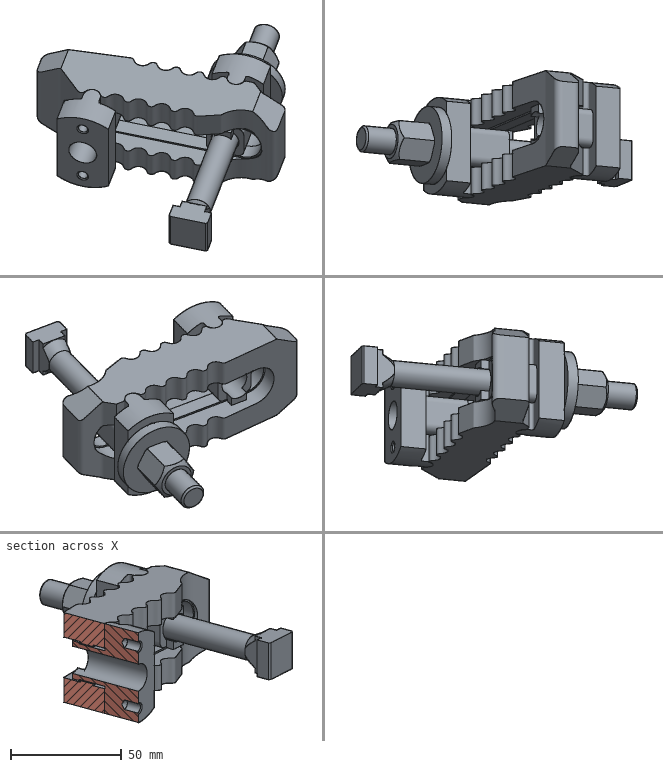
import cadquery as cq
import math


WIDTH = 44.0
LEFT_END_X = -89.9
RIGHT_END_X = 25.1
END_TAPER_LENGTH = 12.0
END_TAPER_ANGLE = 30.0
UPPER_CREST_Y = 79.3
LOWER_CREST_Y = 52.0

GROOVE_COUNT = 5
PITCH = 11.0
GROOVE_RADIUS = 4.0
CREST_RADIUS = 2.0
WALL_ANGLE = math.radians(55.0)
UPPER_FIRST_GROOVE_X = -4 * PITCH
LOWER_FIRST_GROOVE_X = -59.8

LEFT_TIP_TOP_Y = 76.7
LEFT_TIP_BOTTOM_Y = 64.7
LEFT_TIP_FILLET = 3.0
LEFT_SHOULDER_X = -77.9
HEEL_CORNER_X = -78.4
HEEL_ANGLE = math.radians(45.0)
HEEL_FILLET = 2.4

RIGHT_TIP_TOP_Y = 74.6
RIGHT_TIP_FILLET = 2.0
RIGHT_SHOULDER_X = 13.5
RIGHT_SHOULDER_FILLET = 2.4
UPPER_FLAT_END_X = 8.7
SIDE_KINK_Y = 61.9
NOSE_SIDE_X = 24.5
NOSE_FILLET = 2.5
HOLLOW_RADIUS = 14.0
HOLLOW_X = 11.4
HOLLOW_Y = 47.7
HOLLOW_START_X = 0.0
HOLLOW_END_X = 19.7
BEND_FILLET = 1.3
LOWER_RAMP_ANGLE = math.radians(20.0)

SLOT_LEFT_CENTER_X = -66.5
SLOT_RIGHT_CENTER_X = 7.9
SLOT_WIDTH = 18.0
RECESS_WIDTH = 19.5
LOWER_LEDGE_Y = 61.9
UPPER_LEDGE_Y = 69.0

SEAT_WIDTH = 24.2
SEAT_HEIGHT = 12.0
RIDGE_HEIGHT = 7.0
RIDGE_FILLET = 1.0
NECK_WIDTH = 17.5
NECK_FILLET = 3.4
NECK_LENGTH = 21.1
TONGUE_WIDTH = 7.9
TONGUE_LENGTH = 4.0
TONGUE_SPAN = 18.7
BORE_DIAMETER = 13.1
BORE_RADIUS = BORE_DIAMETER / 2
PILOT_OFFSET = 15.0
PILOT_DIAMETER = 4.4
PILOT_RADIUS = PILOT_DIAMETER / 2
PILOT_MOUTH_DIAMETER = 5.4
PILOT_MOUTH_RADIUS = PILOT_MOUTH_DIAMETER / 2
PILOT_DEPTH = 7.9
PILOT_TIP_ANGLE = math.radians(59.0)

WASHER_RADIUS = 17.5
WASHER_THICKNESS = 4.9
NUT_ACROSS_FLATS = 18.0
NUT_HEIGHT = 17.4
NUT_TOP_RADIUS = 7.8
NUT_TOP_BEVEL = 2.0
NUT_BOTTOM_RADIUS = 9.6
NUT_BOTTOM_BEVEL = 0.46

BOLT_LENGTH = 132.0
BOLT_DIAMETER = 12.0
BOLT_RADIUS = BOLT_DIAMETER / 2
BOLT_TIP_CHAMFER = 0.9
FOOT_WIDTH = 18.1
FOOT_DEPTH = 18.0
FOOT_HEIGHT = 7.1
FOOT_CHAMFER = 0.8
STEM_WIDTH = 11.6
STEM_TOP_Y = 10.7
FLARE_TOP_Y = 16.2
FLARE_RADIUS = 8.8

GROOVE_HALF = GROOVE_RADIUS * math.sin(WALL_ANGLE)
CREST_HALF = CREST_RADIUS * math.sin(WALL_ANGLE)
CREST_SAG = CREST_RADIUS * (1 - math.cos(WALL_ANGLE))
GROOVE_SAG = GROOVE_RADIUS * (1 - math.cos(WALL_ANGLE))
WALL_DROP = (PITCH / 2 - GROOVE_HALF - CREST_HALF) * math.tan(WALL_ANGLE)
GROOVE_DEPTH = CREST_SAG + WALL_DROP + GROOVE_SAG


def cylinder(radius, y_start, y_end):
    """Cylinder around the Y axis."""
    return cq.Workplane("XZ", origin=(0, y_start, 0)).circle(radius).extrude(y_start - y_end)


def block(x_size, z_size, y_start, y_end):
    """Box centred on the Y axis."""
    return cq.Workplane("XY").box(x_size, y_end - y_start, z_size).translate((0, (y_start + y_end) / 2, 0))


def add_grooves(outline, first_groove_x, crest_y, inward, step):
    """Continue an outline from a crest top through a row of grooves to the last crest top.

    inward is the Y direction into the bar, step is the X direction of travel.
    """
    wall_top_y = crest_y + inward * CREST_SAG
    wall_bottom_y = wall_top_y + inward * WALL_DROP
    bottom_y = crest_y + inward * GROOVE_DEPTH
    crest_middle = CREST_RADIUS * math.sin(WALL_ANGLE / 2)
    crest_middle_y = crest_y + inward * CREST_RADIUS * (1 - math.cos(WALL_ANGLE / 2))
    for index in range(GROOVE_COUNT):
        center = first_groove_x + step * index * PITCH
        before = center - step * PITCH / 2
        after = center + step * PITCH / 2
        crest_end = before + step * CREST_HALF
        outline = (
            outline
            .threePointArc((before + step * crest_middle, crest_middle_y), (crest_end, wall_top_y))
            .lineTo(center - step * GROOVE_HALF, wall_bottom_y)
            .threePointArc((center, bottom_y), (center + step * GROOVE_HALF, wall_bottom_y))
            .lineTo(after - step * CREST_HALF, wall_top_y)
            .threePointArc((after - step * crest_middle, crest_middle_y), (after, crest_y))
        )
    return outline


def lower_crest_point(crest_x, angle):
    """Point on a lower crest's arc, turned by an angle from the lowest point toward +X."""
    return (
        crest_x + CREST_RADIUS * math.sin(angle),
        LOWER_CREST_Y + CREST_RADIUS * (1 - math.cos(angle)),
    )


def hollow_height(x):
    """Y of the hollow's arc in the underside near the right end."""
    return HOLLOW_Y + math.sqrt(HOLLOW_RADIUS**2 - (x - HOLLOW_X) ** 2)


def bar_profile():
    """Solid of the bar's constant cross-section with its rounded corners."""
    lower_first_crest_x = LOWER_FIRST_GROOVE_X - PITCH / 2
    lower_last_groove_x = LOWER_FIRST_GROOVE_X + (GROOVE_COUNT - 1) * PITCH
    lower_last_crest_x = lower_last_groove_x + PITCH / 2
    ramp_middle = lower_crest_point(lower_last_crest_x, LOWER_RAMP_ANGLE / 2)
    ramp_tangent = lower_crest_point(lower_last_crest_x, LOWER_RAMP_ANGLE)
    heel_middle = lower_crest_point(lower_first_crest_x, -HEEL_ANGLE / 2)
    heel_tangent = lower_crest_point(lower_first_crest_x, -HEEL_ANGLE)
    bend = (HOLLOW_START_X, hollow_height(HOLLOW_START_X))
    hollow_top = (HOLLOW_X, hollow_height(HOLLOW_X))
    hollow_end = (HOLLOW_END_X, hollow_height(HOLLOW_END_X))
    nose_slope = (HOLLOW_END_X - HOLLOW_X) / (hollow_end[1] - HOLLOW_Y)
    nose_corner = (NOSE_SIDE_X, hollow_end[1] - nose_slope * (NOSE_SIDE_X - HOLLOW_END_X))

    outline = cq.Workplane("XY", origin=(0, 0, -WIDTH / 2)).moveTo(LEFT_END_X, LEFT_TIP_BOTTOM_Y)
    outline = outline.lineTo(LEFT_END_X, LEFT_TIP_TOP_Y).lineTo(LEFT_SHOULDER_X, LEFT_TIP_TOP_Y)
    outline = outline.lineTo(UPPER_FIRST_GROOVE_X - PITCH / 2, UPPER_CREST_Y)
    outline = add_grooves(outline, UPPER_FIRST_GROOVE_X, UPPER_CREST_Y, -1, 1)
    outline = (
        outline
        .lineTo(UPPER_FLAT_END_X, UPPER_CREST_Y)
        .lineTo(RIGHT_SHOULDER_X, RIGHT_TIP_TOP_Y)
        .lineTo(RIGHT_END_X, RIGHT_TIP_TOP_Y)
        .lineTo(RIGHT_END_X, SIDE_KINK_Y)
        .lineTo(*nose_corner)
        .lineTo(*hollow_end)
        .threePointArc(hollow_top, bend)
        .lineTo(*ramp_tangent)
        .threePointArc(ramp_middle, (lower_last_crest_x, LOWER_CREST_Y))
    )
    outline = add_grooves(outline, lower_last_groove_x, LOWER_CREST_Y, 1, -1)
    outline = outline.threePointArc(heel_middle, heel_tangent)
    bar = outline.lineTo(HEEL_CORNER_X, LEFT_TIP_BOTTOM_Y).close().extrude(WIDTH)

    rounded_corners = [
        (LEFT_END_X, LEFT_TIP_BOTTOM_Y, LEFT_TIP_FILLET),
        (LEFT_END_X, LEFT_TIP_TOP_Y, LEFT_TIP_FILLET),
        (HEEL_CORNER_X, LEFT_TIP_BOTTOM_Y, HEEL_FILLET),
        (RIGHT_SHOULDER_X, RIGHT_TIP_TOP_Y, RIGHT_SHOULDER_FILLET),
        (RIGHT_END_X, RIGHT_TIP_TOP_Y, RIGHT_TIP_FILLET),
        (*nose_corner, NOSE_FILLET),
        (*bend, BEND_FILLET),
    ]
    for x, y, radius in rounded_corners:
        bar = bar.edges(cq.selectors.NearestToPointSelector((x, y, 0))).fillet(radius)
    return bar


def bar_plan():
    """Block with the bar's plan outline in XZ, narrowed at both ends."""
    half_width = WIDTH / 2
    end_half = half_width - END_TAPER_LENGTH * math.tan(math.radians(END_TAPER_ANGLE))
    left_x = LEFT_END_X + END_TAPER_LENGTH
    right_x = RIGHT_END_X - END_TAPER_LENGTH
    corners = [
        (LEFT_END_X, -end_half),
        (left_x, -half_width),
        (right_x, -half_width),
        (RIGHT_END_X, -end_half),
        (RIGHT_END_X, end_half),
        (right_x, half_width),
        (left_x, half_width),
        (LEFT_END_X, end_half),
    ]
    return cq.Workplane("XZ").polyline(corners).close().extrude(-BOLT_LENGTH)


def slot_cutter(width, y_start, y_end):
    """Round-ended slot along X that runs between two Y levels."""
    spacing = SLOT_RIGHT_CENTER_X - SLOT_LEFT_CENTER_X
    middle_x = (SLOT_RIGHT_CENTER_X + SLOT_LEFT_CENTER_X) / 2
    return (
        cq.Workplane("XZ", origin=(middle_x, y_start, 0))
        .slot2D(spacing + width, width)
        .extrude(y_start - y_end)
    )


def make_bar():
    bar = bar_profile().intersect(bar_plan())
    bar = bar.cut(slot_cutter(SLOT_WIDTH, 0, BOLT_LENGTH))
    bar = bar.cut(slot_cutter(RECESS_WIDTH, 0, LOWER_LEDGE_Y))
    return bar.cut(slot_cutter(RECESS_WIDTH, UPPER_LEDGE_Y, BOLT_LENGTH))


def pilot_hole(z):
    """Countersunk blind hole with a conical end, drilled toward +Y from the back of the seat."""
    countersink = PILOT_MOUTH_RADIUS - PILOT_RADIUS
    tip = PILOT_DEPTH + PILOT_RADIUS / math.tan(PILOT_TIP_ANGLE)
    half_section = [
        (0, 0),
        (PILOT_MOUTH_RADIUS, 0),
        (PILOT_RADIUS, countersink),
        (PILOT_RADIUS, PILOT_DEPTH),
        (0, tip),
    ]
    hole = cq.Workplane("XY").polyline(half_section).close().revolve(360, (0, 0, 0), (0, 1, 0))
    return hole.translate((0, -SEAT_HEIGHT, z))


def make_seat():
    """Seat facing +Y, with its shoulder at Y = 0."""
    foot_half = GROOVE_RADIUS + RIDGE_FILLET
    bend = RIDGE_FILLET * math.sin(math.pi / 4)
    ridge_straight = RIDGE_HEIGHT - GROOVE_RADIUS
    half = SEAT_WIDTH / 2
    section = (
        cq.Workplane("XY", origin=(0, 0, -WIDTH / 2))
        .moveTo(-half, -SEAT_HEIGHT)
        .lineTo(half, -SEAT_HEIGHT)
        .lineTo(half, 0)
        .lineTo(foot_half, 0)
        .threePointArc((foot_half - bend, RIDGE_FILLET - bend), (GROOVE_RADIUS, RIDGE_FILLET))
        .lineTo(GROOVE_RADIUS, ridge_straight)
        .threePointArc((0, RIDGE_HEIGHT), (-GROOVE_RADIUS, ridge_straight))
        .lineTo(-GROOVE_RADIUS, RIDGE_FILLET)
        .threePointArc((bend - foot_half, RIDGE_FILLET - bend), (-foot_half, 0))
        .lineTo(-half, 0)
        .close()
        .extrude(WIDTH)
    )
    seat = section.intersect(cylinder(WIDTH / 2, -SEAT_HEIGHT, RIDGE_HEIGHT))
    seat = seat.union(block(NECK_WIDTH, NECK_WIDTH, 0, NECK_LENGTH).edges("|Y").fillet(NECK_FILLET))
    tongue_end = NECK_LENGTH + TONGUE_LENGTH
    seat = seat.union(block(TONGUE_WIDTH, TONGUE_SPAN, NECK_LENGTH, tongue_end))
    seat = seat.cut(cylinder(BORE_RADIUS, -SEAT_HEIGHT, tongue_end))
    for side in (-1, 1):
        seat = seat.cut(pilot_hole(side * PILOT_OFFSET))
    return seat


def make_washer(bottom_y):
    top_y = bottom_y + WASHER_THICKNESS
    return cylinder(WASHER_RADIUS, bottom_y, top_y).cut(cylinder(BORE_RADIUS, bottom_y, top_y))


def make_nut(bottom_y):
    """Hexagon nut with both ends bevelled by cones."""
    corner_radius = NUT_ACROSS_FLATS / 2 / math.cos(math.pi / 6)
    hexagon = cq.Workplane("XZ").polygon(6, 2 * corner_radius).extrude(-NUT_HEIGHT)
    half_section = [
        (BOLT_RADIUS, 0),
        (NUT_BOTTOM_RADIUS, 0),
        (corner_radius, NUT_BOTTOM_BEVEL),
        (corner_radius, NUT_HEIGHT - NUT_TOP_BEVEL),
        (NUT_TOP_RADIUS, NUT_HEIGHT),
        (BOLT_RADIUS, NUT_HEIGHT),
    ]
    turned = cq.Workplane("XY").polyline(half_section).close().revolve(360, (0, 0, 0), (0, 1, 0))
    return hexagon.intersect(turned).translate((0, bottom_y, 0))


def make_bolt():
    """Bolt with a T-shaped foot and a conical flare that is cut flush with the stem."""
    foot = block(FOOT_WIDTH, FOOT_DEPTH, 0, FOOT_HEIGHT).edges("<Y and |Z").chamfer(FOOT_CHAMFER)
    stem = block(STEM_WIDTH, FOOT_DEPTH, FOOT_HEIGHT, STEM_TOP_Y)
    flare_height = FLARE_TOP_Y - STEM_TOP_Y
    flare_base = cq.Vector(0, STEM_TOP_Y, 0)
    cone = cq.Solid.makeCone(FLARE_RADIUS, BOLT_RADIUS, flare_height, flare_base, cq.Vector(0, 1, 0))
    flare = cq.Workplane(cone).intersect(block(STEM_WIDTH, FOOT_DEPTH, STEM_TOP_Y, FLARE_TOP_Y))
    shank = cylinder(BOLT_RADIUS, FLARE_TOP_Y, BOLT_LENGTH).faces(">Y").chamfer(BOLT_TIP_CHAMFER)
    return foot.union(stem).union(flare).union(shank)


upper_shoulder_y = UPPER_CREST_Y - GROOVE_DEPTH + RIDGE_HEIGHT
lower_shoulder_y = LOWER_CREST_Y + GROOVE_DEPTH - RIDGE_HEIGHT
washer_bottom_y = upper_shoulder_y + SEAT_HEIGHT

seat_places = [
    (LOWER_FIRST_GROOVE_X, lower_shoulder_y, 0),
    (0, upper_shoulder_y, 180),
]
seats = [
    make_seat().rotate((0, 0, 0), (0, 0, 1), turn).translate((x, y, 0))
    for x, y, turn in seat_places
]
bar = make_bar()
washer = make_washer(washer_bottom_y)
nut = make_nut(washer_bottom_y + WASHER_THICKNESS)
bolt = make_bolt()

bodies = [bar, *seats, washer, nut, bolt]
result = cq.Compound.makeCompound([body.solids().val() for body in bodies])